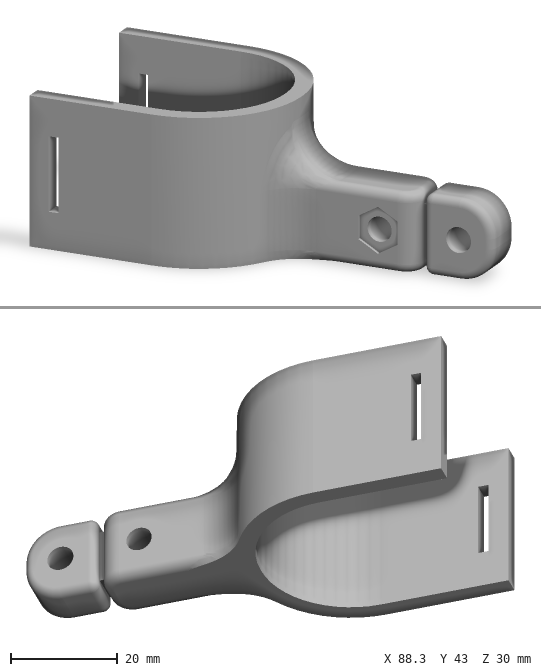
import cadquery as cq
import math

cuff_height = 30.0
cuff_width = 43.0
cuff_wall = 3.5
bend_flat = 0.8
bend_radius = (cuff_width - bend_flat) / 2
leg_length = 25.35

slot_width = 2.0
slot_height = 15.0
slot_offset = 5.0

arm_width = 12.2
arm_height = 16.0
arm_end_x = 47.8
arm_corner_radius = 4.1
arm_edge_radius = 1.85
root_radius = 10.0

axis_z = arm_height / 2
bolt_x = 39.7
bolt_diameter = 5.0
nut_across_flats = 8.1
nut_pocket_depth = 0.7

lug_overhang = 0.04
lug_height = arm_height + 2 * lug_overhang
lug_width = 9.4
lug_edge_radius = 1.6
lug_gap = 0.75
lug_start_x = arm_end_x + lug_gap
lug_end_x = 62.9
lug_tip_flat = 2.0
lug_corner_radius = (lug_height - lug_tip_flat) / 2
lug_hole_x = 55.75
pin_diameter = 5.15
tongue_width = 5.85
tongue_height = 10.9
tongue_start_x = bolt_x - tongue_height / 2


def box(x_start, x_end, width, height, z_centre):
    """Block centred on Y = 0."""
    block = cq.Workplane("XY").box(x_end - x_start, width, height)
    return block.translate(((x_start + x_end) / 2, 0, z_centre))


def cross_bore(x, diameter):
    """Bore along Y, long enough to pass through everything."""
    bore = cq.Workplane("XZ").center(x, axis_z).circle(diameter / 2)
    return bore.extrude(cuff_width / 2, both=True)


def u_prism(radius, height):
    """Solid prism with a U outline of the given bend radius."""
    half_flat = bend_flat / 2
    half_width = half_flat + radius
    diagonal = radius * math.sqrt(0.5)
    return (
        cq.Workplane("XY")
        .moveTo(-leg_length, -half_width)
        .lineTo(0, -half_width)
        .threePointArc((diagonal, -half_flat - diagonal), (radius, -half_flat))
        .lineTo(radius, half_flat)
        .threePointArc((diagonal, half_flat + diagonal), (0, half_width))
        .lineTo(-leg_length, half_width)
        .close()
        .extrude(height)
    )


def make_tongue():
    return box(tongue_start_x, lug_start_x + lug_edge_radius, tongue_width, tongue_height, axis_z)


def make_arm():
    arm = box(0, arm_end_x, arm_width, arm_height, axis_z)
    arm = arm.edges("|Z and >X").fillet(arm_corner_radius)
    return arm.faces(">Z or <Z").edges("not <X").fillet(arm_edge_radius)


def make_clamp():
    clamp = u_prism(bend_radius, 2 * cuff_height).translate((0, 0, -cuff_height))
    clamp = clamp.union(make_arm())
    root = cq.selectors.BoxSelector(
        (bend_radius - cuff_wall, -arm_width, -cuff_height / 4),
        (bend_radius + cuff_wall, arm_width, cuff_height * 3 / 4),
    )
    clamp = clamp.edges(root).fillet(root_radius)
    clamp = clamp.cut(box(-cuff_width, cuff_width, cuff_width, cuff_height, -cuff_height / 2))
    clamp = clamp.cut(u_prism(bend_radius - cuff_wall, cuff_height))

    slot_x = slot_offset - leg_length
    slot = box(slot_x - slot_width / 2, slot_x + slot_width / 2, 2 * cuff_width, slot_height, cuff_height / 2)
    clamp = clamp.cut(slot)

    clamp = clamp.cut(make_tongue()).cut(cross_bore(bolt_x, bolt_diameter))
    nut_corners = nut_across_flats / math.cos(math.pi / 6)
    nut_pocket = (
        cq.Workplane("XZ", origin=(bolt_x, -arm_width / 2, axis_z))
        .transformed(rotate=(0, 0, 90))
        .polygon(6, nut_corners)
        .extrude(-nut_pocket_depth)
    )
    return clamp.cut(nut_pocket)


def make_link():
    lug = box(lug_start_x, lug_end_x, lug_width, lug_height, axis_z)
    lug = lug.edges("|Y and >X").fillet(lug_corner_radius)
    lug = lug.edges("<Y or >Y or <X").fillet(lug_edge_radius)
    link = lug.union(make_tongue())
    return link.cut(cross_bore(lug_hole_x, pin_diameter)).cut(cross_bore(bolt_x, bolt_diameter))


clamp = make_clamp()
link = make_link()
result = cq.Compound.makeCompound([clamp.val(), link.val()])